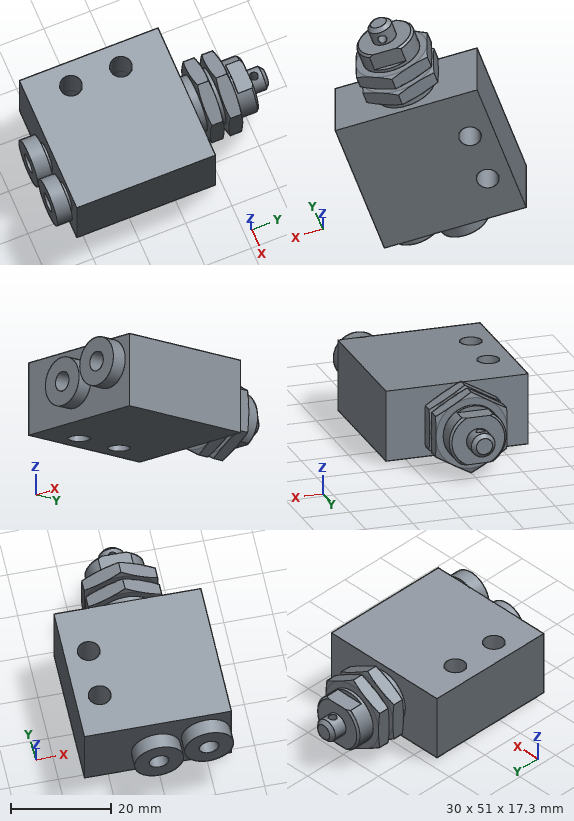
import cadquery as cq
import math

body_side = 30.0
body_height = 15.0
back_face = body_side

mount_hole_diameter = 4.5
mount_hole_x = -body_side / 2 + 5.0
mount_hole_y_positions = (9.1, 19.9)

stem_diameter = 12.0
stem_length = 13.2
stem_chamfer = 0.45
flats_width = 10.0
flats_length = 3.5

pin_diameter = 5.0
pin_reach = 17.0
pin_chamfer = 0.8
cross_hole_diameter = 1.75
cross_hole_from_tip = 2.5

hexagon_half_angle = 30.0
nut_across_flats = 15.0
nut_across_corners = nut_across_flats / math.cos(math.radians(hexagon_half_angle))
nut_thickness = 3.0
nut_gap = 1.0
first_nut_offset = 2.0
nut_count = 2
nut_face_diameter = nut_across_flats
nut_chamfer_angle = 15.0

fitting_centers = ((-0.6, 0.0), (9.6, 2.1))
neck_diameter = 6.0
neck_length = 0.8
collar_diameter = 10.0
collar_length = 3.2
fitting_length = neck_length + collar_length
tube_bore_diameter = 4.0


def cylinder_y(diameter, y_start, length, x=0.0, z=0.0):
    """Cylinder running from y_start towards +Y."""
    start = cq.Vector(x, y_start, z)
    cylinder = cq.Solid.makeCylinder(diameter / 2, length, start, cq.Vector(0, 1, 0))
    return cq.Workplane(obj=cylinder)


def make_body():
    block = cq.Workplane("XY").box(body_side, body_side, body_height)
    block = block.translate((0, body_side / 2, 0))
    hole_points = [(mount_hole_x, y) for y in mount_hole_y_positions]
    holes = (
        cq.Workplane("XY")
        .pushPoints(hole_points)
        .circle(mount_hole_diameter / 2)
        .extrude(body_height, both=True)
    )
    return block.cut(holes)


def make_stem():
    stem = cylinder_y(stem_diameter, back_face, stem_length)
    stem = stem.faces(">Y").chamfer(stem_chamfer)
    flats_center_y = back_face + stem_length - flats_length / 2
    for side in (1, -1):
        cutter = cq.Workplane("XY").box(stem_diameter, flats_length, stem_diameter)
        cutter_z = side * (flats_width + stem_diameter) / 2
        stem = stem.cut(cutter.translate((0, flats_center_y, cutter_z)))
    return stem


def make_pin():
    pin = cylinder_y(pin_diameter, back_face, pin_reach)
    pin = pin.faces(">Y").chamfer(pin_chamfer)
    cross_hole = (
        cq.Workplane("XY")
        .center(0, back_face + pin_reach - cross_hole_from_tip)
        .circle(cross_hole_diameter / 2)
        .extrude(pin_diameter, both=True)
    )
    return pin.cut(cross_hole)


def make_nut(y_start):
    """Hexagon prism with its corners chamfered conically at both faces."""
    hexagon = (
        cq.Workplane("XZ")
        .polygon(6, nut_across_corners)
        .extrude(-nut_thickness)
        .rotate((0, 0, 0), (0, 1, 0), hexagon_half_angle)
    )
    face_radius = nut_face_diameter / 2
    corner_radius = nut_across_corners / 2
    chamfer_depth = (corner_radius - face_radius) * math.tan(math.radians(nut_chamfer_angle))
    envelope = (
        cq.Workplane("XY")
        .moveTo(0, 0)
        .lineTo(face_radius, 0)
        .lineTo(corner_radius, chamfer_depth)
        .lineTo(corner_radius, nut_thickness - chamfer_depth)
        .lineTo(face_radius, nut_thickness)
        .lineTo(0, nut_thickness)
        .close()
        .revolve(360, (0, 0, 0), (0, 1, 0))
    )
    return hexagon.intersect(envelope).translate((0, y_start, 0))


def make_fitting(x, z):
    neck = cylinder_y(neck_diameter, -neck_length, neck_length, x, z)
    collar = cylinder_y(collar_diameter, -fitting_length, collar_length, x, z)
    bore = cylinder_y(tube_bore_diameter, -fitting_length, fitting_length, x, z)
    return neck.union(collar).cut(bore)


result = make_body().union(make_stem()).union(make_pin())

for index in range(nut_count):
    nut_start = back_face + first_nut_offset + index * (nut_thickness + nut_gap)
    result = result.union(make_nut(nut_start))

for center_x, center_z in fitting_centers:
    result = result.union(make_fitting(center_x, center_z))